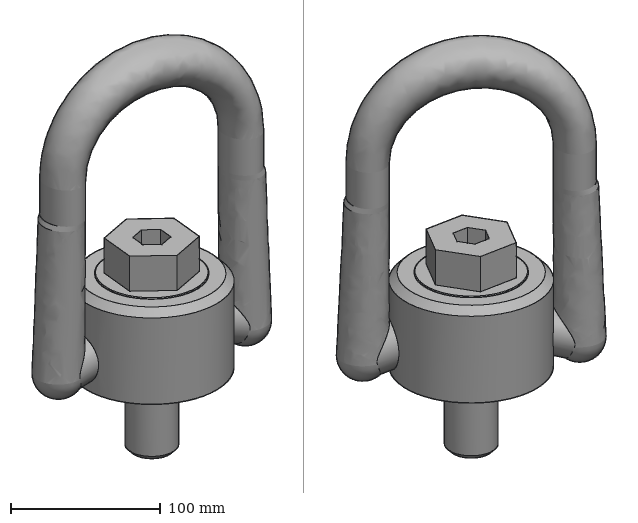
import cadquery as cq
import math


shank_diameter = 36.0
shank_length = 60.8
shank_chamfer = 3.7
head_across_flats = 55.0
head_height = 26.3
socket_across_flats = 22.0
socket_depth = 18.3

body_diameter = 110.0
body_height = 70.5
body_top_chamfer = 5.5
body_bottom_chamfer = 0.5
collar_diameter = 76.3
collar_height = 1.0
collar_chamfer = 0.5
body_bottom = shank_length
body_top = body_bottom + body_height
head_bottom = body_top + collar_height
head_top = head_bottom + head_height

total_height = 305.5
hoop_gap = 112.0
foot_radius = 17.7
foot_height = 77.0
upper_thickness = 28.7
upper_width = 2 * foot_radius
crown_thickness = 35.0
crown_width = 36.3
arch_step_degrees = 15
shoulder_top = 193.5
shoulder_bottom = 190.0
shoulder_thickness = 30.2
inner_reach = hoop_gap / 2
arch_radius = inner_reach + upper_thickness
arch_center_height = total_height - arch_radius
foot_reach = inner_reach + foot_radius

pin_radius = 16.5
pin_rise_degrees = 18
pin_length = 30.5


def hexagon_prism(across_flats, bottom, height):
    """Hexagonal prism on the Z axis with two corners on the X axis."""
    across_corners = across_flats / math.cos(math.radians(30))
    return cq.Workplane("XY").workplane(offset=bottom).polygon(6, across_corners).extrude(height)


def cylinder(diameter, bottom, height):
    return cq.Workplane("XY").workplane(offset=bottom).circle(diameter / 2).extrude(height)


def make_bolt():
    shank = cylinder(shank_diameter, 0, body_top).faces("<Z").chamfer(shank_chamfer)
    head = hexagon_prism(head_across_flats, head_bottom, head_height)
    socket = hexagon_prism(socket_across_flats, head_top - socket_depth, socket_depth)
    return shank, head.cut(socket)


def make_body():
    drum = cylinder(body_diameter, body_bottom, body_height)
    drum = drum.faces(">Z").chamfer(body_top_chamfer)
    drum = drum.faces("<Z").chamfer(body_bottom_chamfer)
    collar = cylinder(collar_diameter, body_top, collar_height).faces(">Z").chamfer(collar_chamfer)
    return drum.union(collar)


def oval_wire(origin, along, width, thickness):
    """Oval bar section: its width lies along X and its normal points along the bar."""
    plane = cq.Plane(origin=origin, xDir=(1, 0, 0), normal=along)
    return cq.Workplane(plane).ellipse(width / 2, thickness / 2).wires().val()


def arch_section(degrees):
    """Section of the arch, which swells smoothly from its ends to its crown."""
    angle = math.radians(degrees)
    swell = math.sin(angle) ** 2
    thickness = upper_thickness + (crown_thickness - upper_thickness) * swell
    width = upper_width + (crown_width - upper_width) * swell
    radius = arch_radius - thickness / 2
    origin = (0, radius * math.cos(angle), arch_center_height + radius * math.sin(angle))
    along = (0, -math.sin(angle), math.cos(angle))
    return oval_wire(origin, along, width, thickness)


def leg_section(height, thickness):
    """Level section of the +Y leg, with its inner side on the edge of the hoop gap."""
    return oval_wire((0, inner_reach + thickness / 2, height), (0, 0, 1), upper_width, thickness)


def make_arch():
    sections = [arch_section(degrees) for degrees in range(0, 181, arch_step_degrees)]
    return cq.Workplane(cq.Solid.makeLoft(sections))


def make_leg():
    """The +Y leg with its round foot and its hinge pin."""
    sections = [
        leg_section(foot_height, 2 * foot_radius),
        leg_section(shoulder_bottom, shoulder_thickness),
        leg_section(shoulder_top, upper_thickness),
        leg_section(arch_center_height, upper_thickness),
    ]
    leg = cq.Workplane(cq.Solid.makeLoft(sections, True))
    foot_center = (0, foot_reach, foot_height)
    foot = cq.Workplane("XY").sphere(foot_radius, angle1=-90, angle2=0).translate(foot_center)
    rise = math.radians(pin_rise_degrees)
    pin_direction = cq.Vector(0, -math.cos(rise), math.sin(rise))
    pin = cq.Solid.makeCylinder(pin_radius, pin_length, cq.Vector(*foot_center), pin_direction)
    return leg.union(foot).union(cq.Workplane(pin))


shank, head = make_bolt()
leg = make_leg()
result = make_body().union(shank).union(head)
result = result.union(leg).union(leg.mirror("XZ")).union(make_arch())